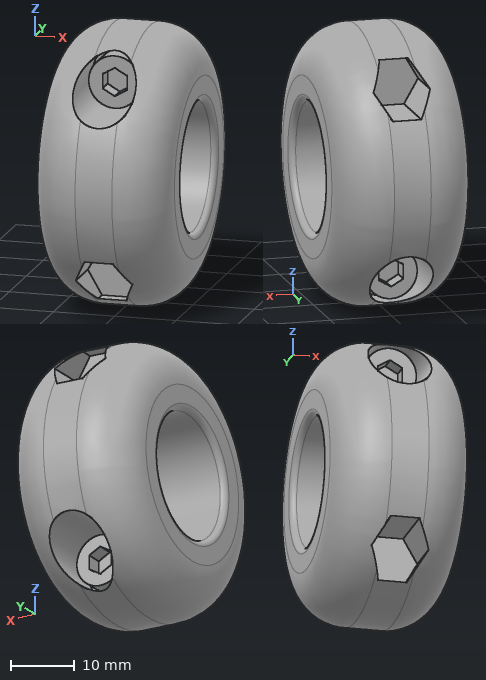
import cadquery as cq
import math

ring_width = 22.0
ring_diameter = 45.0
bore_diameter = 20.9
rim_fillet = 8.0
bore_fillet = 1.0

screw_height = 15.5
counterbore_diameter = 10.0
head_diameter = 8.5
head_length = 5.0
head_face = 9.8
counterbore_floor = head_face - head_length
socket_width = 4.0
socket_depth = 3.0
nut_width = 8.0
nut_pocket_floor = 9.0

cutter_overrun = 1.0
cut_reach = ring_diameter / 2 + cutter_overrun


def make_ring():
    ring = cq.Workplane("YZ").circle(ring_diameter / 2).extrude(ring_width / 2, both=True)
    ring = ring.edges().fillet(rim_fillet)
    bore = cq.Workplane("YZ").circle(bore_diameter / 2).extrude(ring_width / 2, both=True)
    ring = ring.cut(bore)
    bore_rims = cq.selectors.RadiusNthSelector(0)
    return ring.faces("<X or >X").edges(bore_rims).fillet(bore_fillet)


def screw_plane(distance):
    """Plane facing -Y, centred on the upper screw axis, this far towards -Y."""
    return cq.Workplane("XZ", origin=(0, -distance, screw_height))


def hexagon_diameter(across_flats):
    return across_flats / math.cos(math.pi / 6)


def counterbore():
    depth = cut_reach - counterbore_floor
    return screw_plane(counterbore_floor).circle(counterbore_diameter / 2).extrude(depth)


def screw_head():
    head = screw_plane(counterbore_floor).circle(head_diameter / 2).extrude(head_length)
    socket = (
        screw_plane(head_face - socket_depth)
        .transformed(rotate=(0, 0, 90))
        .polygon(6, hexagon_diameter(socket_width))
        .extrude(socket_depth)
    )
    return head.cut(socket)


def nut_pocket():
    """Hexagonal pocket with corners towards +X and -X, open on the +Y side."""
    depth = cut_reach - nut_pocket_floor
    pocket = screw_plane(-nut_pocket_floor).polygon(6, hexagon_diameter(nut_width))
    return pocket.extrude(-depth)


result = make_ring()
for turn in (0, 180):
    for cutter in (counterbore(), nut_pocket()):
        result = result.cut(cutter.rotate((0, 0, 0), (1, 0, 0), turn))
    result = result.union(screw_head().rotate((0, 0, 0), (1, 0, 0), turn))